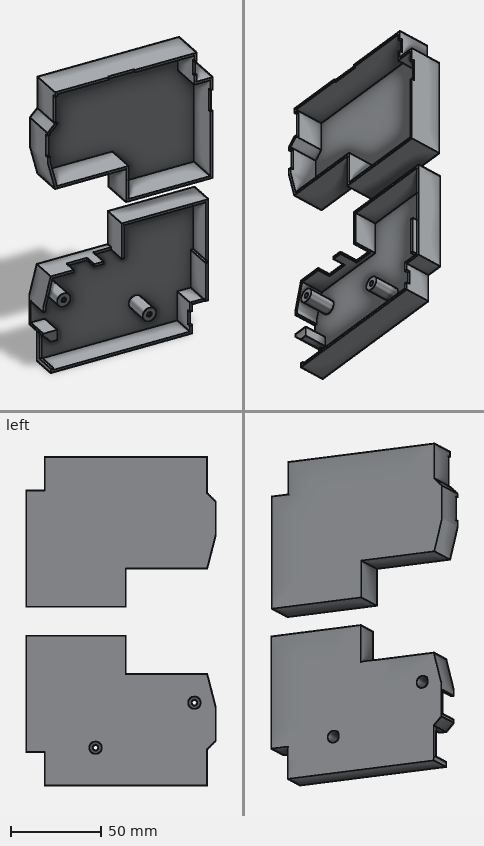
import cadquery as cq

overall_height = 182.1
wall = 1.6

half_height = 83.0
body_length = 105.0
rear_step_y = 94.9
rear_step_level = 18.5
chamfer_run = 4.7
chamfer_level = 20.0
nose_start_level = 24.8
nose_end_level = 43.5
shoulder_level = 62.0
shoulder_y = 49.9

case_rim_x = 15.8
cover_back_x = 0.7
cover_rim_x = 20.8

lower_window = (3.0, chamfer_level)
upper_window = (26.5, 40.2)
rear_window = (5.3, 14.2)
lower_window_sill_x = 3.0
case_rear_window_depth = 2.2
cover_window_depth = 1.8

shoulder_cutouts = [(19.5, 32.5, 7.6), (38.5, shoulder_y, 4.0)]

top_notch_start_y = 39.0
top_notch_end_y = 55.5
top_notch_depth = 1.0

nose_sill_depth = 9.0

bosses = [(11.8, 45.9, 18.0), (66.7, 21.0, 17.5)]
boss_diameter = 8.5
counterbore_diameter = 7.0
screw_diameter = 3.0

tongue_top = 44.5
tongue_end_x = 18.8


def block(x_range, y_range, z_range):
    """Box spanning the given ranges."""
    (x0, x1), (y0, y1), (z0, z1) = x_range, y_range, z_range
    return cq.Workplane("XY").box(x1 - x0, y1 - y0, z1 - z0, centered=False).translate((x0, y0, z0))


def half_outline():
    """Closed outline of a half, with its stepped edge at z = 0."""
    return cq.Workplane("YZ").polyline([
        (chamfer_run, 0),
        (rear_step_y, 0),
        (rear_step_y, rear_step_level),
        (body_length, rear_step_level),
        (body_length, half_height),
        (shoulder_y, half_height),
        (shoulder_y, shoulder_level),
        (chamfer_run, shoulder_level),
        (0, nose_end_level),
        (0, nose_start_level),
        (chamfer_run, chamfer_level),
    ]).close()


def half_shell(back_x, rim_x):
    """Tray with a back plate at back_x and perimeter walls up to rim_x."""
    depth = rim_x - back_x
    cavity = half_outline().offset2D(-wall, "intersection").extrude(depth).translate((wall, 0, 0))
    return half_outline().extrude(depth).cut(cavity).translate((back_x, 0, 0))


def x_cylinder(diameter, y, z, start_x, end_x):
    """Cylinder along X around the given centre."""
    return cq.Workplane("YZ", origin=(start_x, y, z)).circle(diameter / 2).extrude(end_x - start_x)


def make_case():
    case = half_shell(0, case_rim_x)

    sill_block = block((0, case_rim_x), (0, nose_sill_depth), (chamfer_level, upper_window[0]))
    case = case.union(half_outline().extrude(case_rim_x).intersect(sill_block))

    inner_rear_y = body_length - wall
    case = case.union(block((0, tongue_end_x), (inner_rear_y - wall, inner_rear_y),
                            (rear_step_level + wall, tongue_top)))

    front_wall = (chamfer_run, chamfer_run + wall)
    case = case.cut(block((lower_window_sill_x, case_rim_x), front_wall, lower_window))
    case = case.cut(block((wall, case_rim_x), (0, nose_sill_depth), upper_window))
    rear_wall = (rear_step_y - wall, rear_step_y)
    case = case.cut(block((case_rim_x - case_rear_window_depth, case_rim_x), rear_wall, rear_window))

    for start_y, end_y, floor_x in shoulder_cutouts:
        case = case.cut(block((floor_x, case_rim_x), (start_y, end_y),
                              (shoulder_level - wall, shoulder_level)))

    for y, z, end_x in bosses:
        case = case.union(x_cylinder(boss_diameter, y, z, 0, end_x))
        case = case.cut(x_cylinder(counterbore_diameter, y, z, 0, end_x - wall))
        case = case.cut(x_cylinder(screw_diameter, y, z, 0, end_x))
    return case


def make_cover():
    cover = half_shell(cover_back_x, cover_rim_x)

    notch_x = (cover_rim_x - cover_window_depth, cover_rim_x)
    cover = cover.cut(block(notch_x, (chamfer_run, chamfer_run + wall), lower_window))
    cover = cover.cut(block(notch_x, (0, wall), upper_window))
    cover = cover.cut(block(notch_x, (rear_step_y - wall, rear_step_y), rear_window))
    cover = cover.cut(block(notch_x, (body_length - wall, body_length), upper_window))

    cover = cover.cut(block((cover_rim_x - top_notch_depth, cover_rim_x),
                            (top_notch_start_y, top_notch_end_y), (0, wall)))

    return cover.mirror("XY").translate((0, 0, overall_height))


case = make_case()
cover = make_cover()

result = cq.Compound.makeCompound([case.val(), cover.val()])